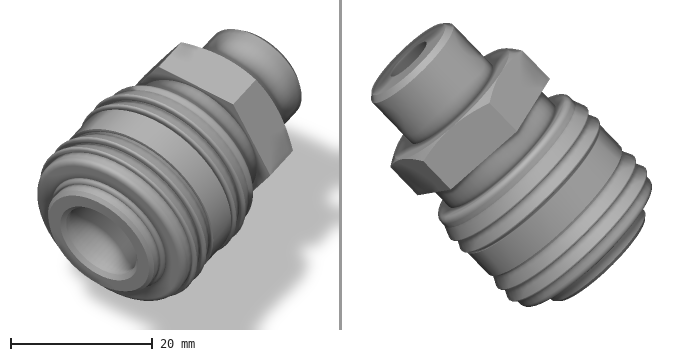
import cadquery as cq
import math

total_length = 40.0
collar_front = 1.9
sleeve_front = 2.55
sleeve_back = 20.6
hex_front = 24.3
hex_back = 31.0

nose_radius = 9.1
collar_radius = 9.7
sleeve_radius = 12.7
neck_radius = 10.35
spigot_radius = 7.9

nose_chamfer = 0.5
spigot_chamfer = 0.8
sleeve_fillet = 0.8
collar_width = collar_radius - nose_radius

rib_radius = 13.4
rib_groove_radius = 12.5
rib_tip_round = 0.3
rib_pitch = 2.3
rib_length = 2.2
front_rib_start = 4.65
back_rib_start = 14.5
ribs_per_group = 2
band_start = 9.6
band_end = 14.1
band_radius = 13.0

hex_across_flats = 22.0
hex_corner_radius = hex_across_flats / math.sqrt(3)
hex_chamfer_angle = 30.0

socket_radius = 6.0
socket_mouth_radius = 6.6
socket_depth = 24.0
through_radius = 3.5


def revolve(profile):
    """Turn a closed radius-Y outline about the Y axis."""
    return profile.close().revolve(360, (0, 0, 0), (0, 1, 0))


def cylinder(radius, start, end):
    outline = cq.Workplane("XY").moveTo(0, start).lineTo(radius, start)
    return revolve(outline.lineTo(radius, end).lineTo(0, end))


def rib(start, root_radius):
    """Sawtooth ring with a steep, rounded front edge and a slope falling toward the back."""
    tip_end = start + rib_tip_round
    return revolve(
        cq.Workplane("XY")
        .moveTo(0, start)
        .lineTo(rib_radius - rib_tip_round, start)
        .radiusArc((rib_radius, tip_end), -rib_tip_round)
        .lineTo(root_radius, start + rib_length)
        .lineTo(0, start + rib_length)
    )


def sleeve():
    body = cylinder(sleeve_radius, sleeve_front, sleeve_back).edges().fillet(sleeve_fillet)
    groove_start = front_rib_start + rib_tip_round
    groove_end = back_rib_start + rib_pitch
    ring = cylinder(rib_radius, groove_start, groove_end)
    body = body.cut(ring.cut(cylinder(rib_groove_radius, groove_start, groove_end)))
    for first in (front_rib_start, back_rib_start):
        for index in range(ribs_per_group):
            start = first + index * rib_pitch
            root_radius = sleeve_radius if start >= groove_end else rib_groove_radius
            body = body.union(rib(start, root_radius))
    return body.union(cylinder(band_radius, band_start, band_end))


def nose():
    tip = cylinder(nose_radius, 0, sleeve_front).faces("<Y").edges().chamfer(nose_chamfer)
    collar = cylinder(collar_radius, collar_front, sleeve_front)
    return tip.union(collar.faces("<Y").edges().fillet(collar_width))


def hexagon():
    """Hexagonal nut with its back corners turned off by a cone."""
    prism = (
        cq.Workplane("XZ", origin=(0, hex_front, 0))
        .polygon(6, 2 * hex_corner_radius)
        .extrude(hex_front - hex_back)
    )
    flat_radius = hex_across_flats / 2
    cone_drop = (hex_corner_radius - flat_radius) * math.tan(math.radians(hex_chamfer_angle))
    envelope = revolve(
        cq.Workplane("XY")
        .moveTo(0, hex_front)
        .lineTo(hex_corner_radius, hex_front)
        .lineTo(hex_corner_radius, hex_back - cone_drop)
        .lineTo(flat_radius, hex_back)
        .lineTo(0, hex_back)
    )
    return prism.intersect(envelope)


def bore():
    socket = revolve(
        cq.Workplane("XY")
        .moveTo(0, 0)
        .lineTo(socket_mouth_radius, 0)
        .lineTo(socket_radius, socket_mouth_radius - socket_radius)
        .lineTo(socket_radius, socket_depth)
        .lineTo(0, socket_depth)
    )
    return socket.union(cylinder(through_radius, 0, total_length))


neck = cylinder(neck_radius, sleeve_back, hex_front)
spigot = cylinder(spigot_radius, hex_back, total_length).faces(">Y").edges().chamfer(spigot_chamfer)
result = nose().union(sleeve()).union(neck).union(hexagon()).union(spigot).cut(bore())